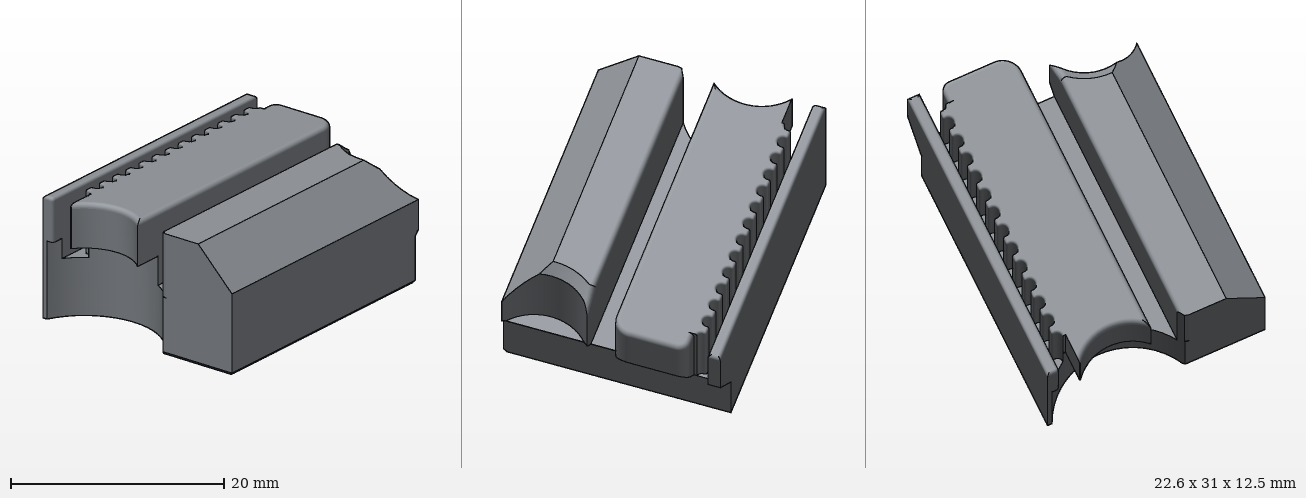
import cadquery as cq
import math

width = 22.55
length = 31.0
height = 12.5

overhang = 3.1
overhang_z = 8.0

wall_thickness = 1.25
wall_fillet = 0.35

left_floor_z = 5.95
right_floor_z = 5.02
bar_left = 3.32
bar_right = 10.9
bar_rear_left_radius = 1.0
bar_rear_right_radius = 1.95
block_left = 13.83
top_fillet = 0.5

rack_front = 3.1
rack_rear = length - (overhang_z - left_floor_z)
rack_inner_x = bar_left + 2 * top_fillet
scallop_span = 26.0
scallop_count = 14
tooth_pitch = scallop_span / (scallop_count - 1)
scallop_radius = 0.55
tooth_tip = 2.2
scallop_root = 3.05
tooth_corner_radius = 0.2
rack_top_fillet = 0.25

recess_x = 7.38
recess_y = -3.1
recess_radius = 7.55
upper_recess_radius = 5.02

slope_size = 4.03
base_chamfer = 0.37
relief_slope = 0.25
lower_relief_x = 14.45
upper_relief_x = 14.65
hollow_x = 18.38
hollow_y = 31.22
hollow_radius = 5.02
hollow_chamfer = 1.0

margin = 0.03


def box(x0, x1, y0, y1, z0, z1):
    """Axis-aligned box between two opposite corners."""
    return cq.Workplane("XY").box(x1 - x0, y1 - y0, z1 - z0, centered=False).translate((x0, y0, z0))


def cylinder(x, y, radius, z0, z1):
    """Upright cylinder between two heights."""
    return cq.Workplane("XY").center(x, y).circle(radius).extrude(z1 - z0).translate((0, 0, z0))


def make_base():
    """Full-width body up to the left channel floor, with the right channel cut in."""
    base = box(0, block_left, 0, length, 0, left_floor_z)
    return base.cut(box(bar_right, block_left, 0, length, right_floor_z, left_floor_z))


def make_wall():
    """Left wall with rounded top edges and a rounded inner front corner above the recess."""
    wall = box(0, wall_thickness, 0, length, 0, height)
    wall = wall.edges("|Z and >X and <Y").fillet(wall_fillet)
    wall = wall.faces(">Z").edges().fillet(wall_fillet)
    lower_front = box(0, wall_thickness, 0, 2 * wall_fillet, 0, overhang_z)
    return wall.union(lower_front)


def make_bar():
    """Centre bar with rounded rear corners, an arched front and rounded top edges."""
    bar = box(bar_left, bar_right, 0, length, 0, height)
    bar = bar.edges("|Z and >Y and <X").fillet(bar_rear_left_radius)
    bar = bar.edges("|Z and >Y and >X").fillet(bar_rear_right_radius)
    bar = bar.faces(">Z").edges("not(<Y)").fillet(top_fillet)
    square_left_edge = box(bar_left, rack_inner_x, 0, rack_rear, left_floor_z, height)
    bar = bar.union(square_left_edge)
    return bar.cut(cylinder(recess_x, recess_y, upper_recess_radius, 0, height)).cut(arch_rounding())


def arch_rounding():
    """Ring that rounds the top edge of the arched front of the bar."""
    start_z = height - top_fillet
    middle_radius = upper_recess_radius + top_fillet * (1 - math.sqrt(0.5))
    middle_z = start_z + top_fillet * math.sqrt(0.5)
    ring = (
        cq.Workplane("XZ")
        .moveTo(upper_recess_radius, start_z)
        .threePointArc((middle_radius, middle_z), (upper_recess_radius + top_fillet, height))
        .lineTo(upper_recess_radius, height)
        .close()
        .revolve(360, (0, 0, 0), (0, 1, 0))
    )
    return ring.translate((recess_x, recess_y, 0))


def make_rack():
    """Toothed strip that covers the left face of the bar, scalloped from floor to top."""
    rack = box(tooth_tip, rack_inner_x, rack_front, rack_rear, left_floor_z, height)
    centre_x = scallop_root - scallop_radius
    for index in range(scallop_count):
        centre_y = rack_front + index * tooth_pitch
        opening = box(
            tooth_tip, centre_x, centre_y - scallop_radius, centre_y + scallop_radius, left_floor_z, height
        )
        rack = rack.cut(cylinder(centre_x, centre_y, scallop_radius, left_floor_z, height)).cut(opening)
    rack = rack.edges("|Z and <X").fillet(tooth_corner_radius)
    profile_edges = cq.selectors.BoxSelector(
        (tooth_tip - margin, rack_front + margin, height - margin),
        (bar_left, rack_rear - margin, height + margin),
    )
    return rack.edges(profile_edges).fillet(rack_top_fillet)


def make_block():
    """Right block with a rounded channel edge, sloped outer top, base chamfers and a rear hollow."""
    block = box(block_left, width, 0, length, 0, height)
    block = block.edges(">X and >Z").chamfer(slope_size)
    block = block.edges("<Z and (>X or <Y)").chamfer(base_chamfer)
    block = block.cut(cylinder(hollow_x, hollow_y, hollow_radius, right_floor_z, height)).cut(hollow_rim())
    channel_edges = cq.selectors.BoxSelector(
        (block_left - margin, 0, height - hollow_chamfer),
        (block_left + margin, length, height + margin),
    )
    block = block.edges(channel_edges).fillet(top_fillet)
    block = block.cut(cylinder(recess_x, recess_y, recess_radius, 0, height))
    block = block.cut(edge_relief(lower_relief_x, 0, left_floor_z))
    return block.cut(edge_relief(upper_relief_x, left_floor_z, height))


def hollow_rim():
    """Cone that bevels the top rim of the rear hollow."""
    cone = cq.Solid.makeCone(
        hollow_radius,
        hollow_radius + hollow_chamfer,
        hollow_chamfer,
        pnt=cq.Vector(hollow_x, hollow_y, height - hollow_chamfer),
    )
    return cq.Workplane(cone)


def edge_relief(end_x, z0, z1):
    """Shallow wedge that blunts the sharp front edge beside the recess."""
    outline = [(block_left, 0), (end_x, 0), (block_left, relief_slope * (end_x - block_left))]
    return cq.Workplane("XY").polyline(outline).close().extrude(z1 - z0).translate((0, 0, z0))


def make_undercut():
    """Space below the rear overhang, across the full width."""
    lower_rear_y = length - overhang
    outline = [
        (lower_rear_y, 0),
        (length, 0),
        (length, overhang_z),
        (lower_rear_y, overhang_z - overhang),
    ]
    return cq.Workplane("YZ").polyline(outline).close().extrude(width)


result = make_base().union(make_wall()).union(make_bar()).union(make_rack())
result = result.cut(cylinder(recess_x, recess_y, recess_radius, 0, overhang_z))
result = result.union(make_block()).cut(make_undercut())